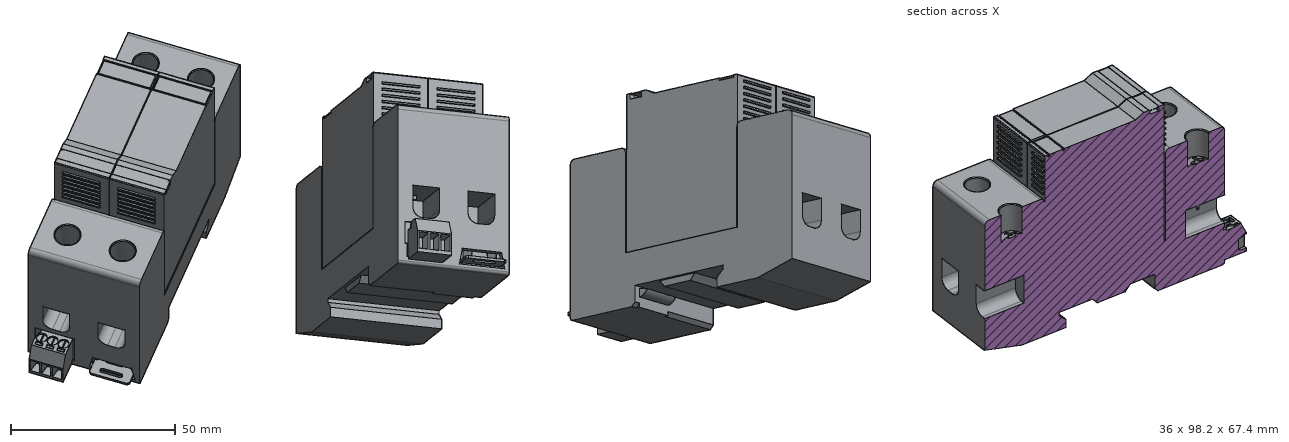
import cadquery as cq


overall_depth = 98.2
base_width = 36.0
base_depth = 90.05
base_height = 50.7
base_edge_radius = 1.8
foot_edge_radius = 0.9
heel_run = 13.9
heel_rise = 3.5

rail_front = 26.3
rail_back = 62.0
rail_roof = 6.5
rail_lip = 2.5
rail_lip_bottom = 3.0
rail_lip_top = 5.3
rail_corner_chamfer = 1.3
pad_front = 35.4
pad_back = 49.7
pad_drop = 2.1
pad_slope = 2.0
pad_width = 34.0

module_pitch = 17.9
module_gap = 0.3
module_width = module_pitch - module_gap
module_front = 22.7
module_back = 67.6
module_floor = 17.5
module_top = 65.8
bay_clearance = 0.3
grip_top = 67.4
ramp_start = 33.6
ramp_end = 30.4
module_edge_chamfer = 0.3

label_front = 60.2
label_back = 66.1
label_depth = 0.7
label_gap = 0.4
grip_groove_front = 24.6
grip_groove_back = 28.5
grip_groove_depth = 0.1
grip_hole_front = 24.8
grip_hole_back = 27.9
grip_hole_bottom = 65.8
grip_hole_height = 1.1
grip_flare = 0.8

rib_count = 7
rib_pitch = 2.0
rib_lowest = 52.2
rib_length = 12.1
rib_height = 0.6
rib_reach = 0.6

pole_x = module_pitch / 2
screw_inset = 10.1
well_radius = 3.8
well_rim = 0.3
well_depth = 9.8
dome_height = 1.2
cross_length = 4.6
cross_width = 0.9
cross_depth = 1.0
cross_hub_radius = 0.9
back_screw_turn = 20
wire_width = 8.6
wire_bottom = 15.2
wire_top = 25.2
wire_radius = 3.1
wire_depth = 14.7
stud_radius = 0.5
stud_length = 1.4

plug_x = -9.2
plug_width = 11.0
plug_bottom = 1.6
plug_top = 12.8
plug_reach = overall_depth - base_depth
plug_bevel_y = 6.0
plug_bevel_z = 8.3
socket_left = -15.1
socket_right = -3.0
socket_bottom = 2.5
socket_top = 13.5
socket_depth = 0.5
key_left = -15.8
key_bottom = 6.6
plug_pole_count = 3
plug_pole_pitch = 3.5
plug_screw_y = -2.3
plug_screw_radius = 1.7
plug_screw_depth = 0.6
plug_slot_width = 0.2
mark_width = 2.3
mark_length = 0.9
mark_y = -4.7
mark_depth = 0.3
funnel_width = 2.9
funnel_bottom = 2.75
funnel_top = 8.0
funnel_throat_width = 1.5
funnel_throat_bottom = 3.1
funnel_throat_top = 7.1
funnel_depth = 2.9
notch_length = 2.4
notch_inset = 0.9
notch_floor = 10.9

latch_x = 9.3
latch_width = 13.1
tab_bottom = 2.8
tab_thickness = 0.8
tab_reach = 3.4
tab_corner = 0.7
tab_slot_length = 7.3
tab_slot_width = 1.6
tab_slot_y = -1.3
recess_x = 9.1
recess_bottom_width = 14.7
recess_top_width = 12.7
recess_bottom = 1.8
recess_top = 6.9
recess_depth = 2.0
pocket_width = 2.9
pocket_offset = 3.9
pocket_depth = 2.0
pocket_roof_drop = 2.7
hook_reach = 3.0
hook_top = 6.0
hook_tip = 5.3
hook_bottom = 3.2
hook_radius = 4.3


def box(x0, x1, y0, y1, z0, z1):
    """A block given by its limits along X, Y and Z."""
    return cq.Workplane("XY").box(x1 - x0, y1 - y0, z1 - z0, centered=False).translate((x0, y0, z0))


def side_profile(points, x_middle, width):
    """A (Y, Z) outline extruded along X, centred on x_middle."""
    plane = cq.Workplane("YZ", origin=(x_middle, 0, 0))
    return plane.polyline(points).close().extrude(width / 2, both=True)


def make_base():
    lip_y = rail_back - rail_lip
    outline = [
        (0, 0),
        (rail_front - rail_corner_chamfer, 0),
        (rail_front, rail_corner_chamfer),
        (rail_front, rail_roof),
        (rail_back, rail_roof),
        (rail_back, rail_lip_top),
        (lip_y, rail_lip_bottom),
        (lip_y, 0),
        (base_depth - heel_run, 0),
        (base_depth, heel_rise),
        (base_depth, base_height),
        (0, base_height),
    ]
    half = base_width / 2
    bay = box(-half, half, module_front - bay_clearance, module_back, module_floor, base_height)
    base = side_profile(outline, 0, base_width).cut(bay)
    base = base.edges("|X and >Z").fillet(base_edge_radius)
    base = base.edges("|X and <Z and <Y").fillet(foot_edge_radius)
    pad = [
        (pad_front, rail_roof),
        (pad_front + pad_slope, rail_roof - pad_drop),
        (pad_back - pad_slope, rail_roof - pad_drop),
        (pad_back, rail_roof),
    ]
    return base.union(side_profile(pad, 0, pad_width))


def flare(x_face, x_inside):
    """Funnel from the grip hole outline at x_inside to a wider outline on the side wall at x_face."""
    length = grip_hole_back - grip_hole_front
    middle_y = (grip_hole_back + grip_hole_front) / 2
    middle_z = grip_hole_bottom + grip_hole_height / 2
    return (
        cq.Workplane("YZ", origin=(x_face, middle_y, middle_z))
        .rect(length + 2 * grip_flare, grip_hole_height + grip_flare / 2)
        .workplane(offset=x_inside - x_face)
        .rect(length, grip_hole_height)
        .loft()
    )


def make_module(x_middle, outer_side):
    """One plug-in module; outer_side is -1 or +1 towards its exposed side wall."""
    left = x_middle - module_width / 2
    right = x_middle + module_width / 2
    outline = [
        (module_front, module_floor),
        (module_back, module_floor),
        (module_back, module_top - module_edge_chamfer),
        (module_back - module_edge_chamfer, module_top),
        (ramp_start, module_top),
        (ramp_end, grip_top),
        (grip_groove_back, grip_top),
        (grip_groove_back, grip_top - grip_groove_depth),
        (grip_groove_front, grip_top - grip_groove_depth),
        (grip_groove_front, grip_top),
        (module_front + module_edge_chamfer, grip_top),
        (module_front, grip_top - module_edge_chamfer),
    ]
    module = side_profile(outline, x_middle, module_width)

    label_bottom = module_top - label_depth
    module = module.cut(box(left, right, label_front, label_back, label_bottom, module_top))
    plate = box(
        left + label_gap, right - label_gap,
        label_front + label_gap, label_back - label_gap,
        label_bottom, module_top,
    )
    module = module.union(plate)

    grip_hole_top = grip_hole_bottom + grip_hole_height
    module = module.cut(box(left, right, grip_hole_front, grip_hole_back, grip_hole_bottom, grip_hole_top))
    x_face = x_middle + outer_side * module_width / 2
    module = module.cut(flare(x_face, x_face - outer_side * grip_flare))

    for i in range(rib_count):
        rib_middle = rib_lowest + i * rib_pitch
        rib = box(
            x_middle - rib_length / 2, x_middle + rib_length / 2,
            module_front - rib_reach, module_back + rib_reach,
            rib_middle - rib_height / 2, rib_middle + rib_height / 2,
        )
        module = module.union(rib)
    return module


def screw_well(x, y, turn):
    """Material to remove for a screw well, leaving a domed cross-slotted screw head at its floor."""
    floor = base_height - well_depth
    well = cq.Workplane("XY", origin=(x, y, floor)).circle(well_radius).extrude(well_depth)
    rim = cq.Workplane("XY", origin=(x, y, base_height - well_rim)).circle(well_radius)
    rim = rim.workplane(offset=well_rim).circle(well_radius + well_rim).loft()

    dome_radius = (well_radius**2 + dome_height**2) / (2 * dome_height)
    dome_top = floor + dome_height
    dome = cq.Workplane("XY", origin=(x, y, dome_top - dome_radius)).sphere(dome_radius)

    recess = cq.Workplane("XY", origin=(x, y, dome_top - cross_depth))
    cross = recess.rect(cross_length, cross_width).extrude(cross_depth)
    cross = cross.union(recess.rect(cross_width, cross_length).extrude(cross_depth))
    cross = cross.union(recess.circle(cross_hub_radius).extrude(cross_depth))
    cross = cross.rotate((x, y, 0), (x, y, 1), turn)
    return well.union(rim).cut(dome).union(cross)


def wire_opening(x, y_start):
    left = x - wire_width / 2
    opening = box(left, left + wire_width, y_start, y_start + wire_depth, wire_bottom, wire_top)
    return opening.edges("|Y and <Z").fillet(wire_radius)


def cut_terminals(body):
    for x in (-pole_x, pole_x):
        body = body.cut(screw_well(x, screw_inset, 0))
        body = body.cut(screw_well(x, base_depth - screw_inset, back_screw_turn))
        body = body.cut(wire_opening(x, 0))
        body = body.cut(wire_opening(x, base_depth - wire_depth))
    stud = cq.Workplane("XY", origin=(-pole_x, screw_inset, wire_top - stud_length))
    return body.union(stud.circle(stud_radius).extrude(stud_length))


def cut_socket(body):
    body = body.cut(box(socket_left, socket_right, 0, socket_depth, socket_bottom, socket_top))
    return body.cut(box(key_left, socket_left, 0, socket_depth, key_bottom, socket_top))


def wire_funnel(x):
    """Tapered wire entry cut into the front face of the plug."""
    mouth_middle = (funnel_bottom + funnel_top) / 2
    throat_middle = (funnel_throat_bottom + funnel_throat_top) / 2
    return (
        cq.Workplane("XZ", origin=(x, -plug_reach, 0))
        .center(0, mouth_middle)
        .rect(funnel_width, funnel_top - funnel_bottom)
        .workplane(offset=-funnel_depth)
        .center(0, throat_middle - mouth_middle)
        .rect(funnel_throat_width, funnel_throat_top - funnel_throat_bottom)
        .loft()
    )


def make_plug():
    outline = [
        (-plug_reach, plug_bottom),
        (socket_depth, plug_bottom),
        (socket_depth, plug_top),
        (-plug_bevel_y, plug_top),
        (-plug_reach, plug_bevel_z),
    ]
    plug = side_profile(outline, plug_x, plug_width)

    for i in range(plug_pole_count):
        x = plug_x + (i - (plug_pole_count - 1) / 2) * plug_pole_pitch
        screw = cq.Workplane("XY", origin=(x, plug_screw_y, plug_top - plug_screw_depth))
        plug = plug.cut(screw.circle(plug_screw_radius).extrude(plug_screw_depth))
        slot = screw.rect(plug_slot_width, 2 * plug_screw_radius).extrude(-plug_screw_depth)
        mark = cq.Workplane("XY", origin=(x, mark_y, plug_top - mark_depth))
        mark = mark.rect(mark_width, mark_length).extrude(mark_depth)
        plug = plug.cut(slot).cut(mark).cut(wire_funnel(x))

    notch_radius = (notch_length**2 + notch_inset**2) / (2 * notch_inset)
    notch_x = plug_x - plug_width / 2 + notch_inset - notch_radius
    notch = cq.Workplane("XY", origin=(notch_x, 0, notch_floor)).circle(notch_radius)
    return plug.cut(notch.extrude(plug_top - notch_floor))


def cut_latch_recess(body):
    """Tapered recess in the front wall with two deeper pockets whose roofs slope down inwards."""
    recess = cq.Workplane("XZ", origin=(recess_x, 0, 0)).polyline([
        (-recess_bottom_width / 2, recess_bottom),
        (recess_bottom_width / 2, recess_bottom),
        (recess_top_width / 2, recess_top),
        (-recess_top_width / 2, recess_top),
    ]).close().extrude(-recess_depth)
    pocket_end = recess_depth + pocket_depth
    pocket_outline = [
        (recess_depth, tab_bottom),
        (pocket_end, tab_bottom),
        (pocket_end, recess_top - pocket_roof_drop),
        (recess_depth, recess_top),
    ]
    body = body.cut(recess)
    for side in (-1, 1):
        body = body.cut(side_profile(pocket_outline, recess_x + side * pocket_offset, pocket_width))
    return body


def make_latch():
    left = latch_x - latch_width / 2
    right = latch_x + latch_width / 2
    tab = box(left, right, -tab_reach, recess_depth + pocket_depth, tab_bottom, tab_bottom + tab_thickness)
    tab = tab.edges("|Z and <Y").chamfer(tab_corner)
    slot = cq.Workplane("XY", origin=(latch_x, tab_slot_y, tab_bottom))
    tab = tab.cut(slot.slot2D(tab_slot_length, tab_slot_width).extrude(tab_thickness))

    slider = box(left, right, rail_front - rail_corner_chamfer, rail_front, 0, rail_corner_chamfer)
    hook = (
        cq.Workplane("YZ", origin=(left, 0, 0))
        .moveTo(rail_front, hook_bottom)
        .lineTo(rail_front, hook_top)
        .lineTo(rail_front + hook_reach, hook_tip)
        .radiusArc((rail_front, hook_bottom), hook_radius)
        .close()
        .extrude(latch_width)
    )
    return tab.union(slider).union(hook)


body = make_base()
body = cut_terminals(body)
body = cut_socket(body)
body = cut_latch_recess(body)
for side in (-1, 1):
    body = body.union(make_module(side * module_pitch / 2, side))
result = body.union(make_plug()).union(make_latch())